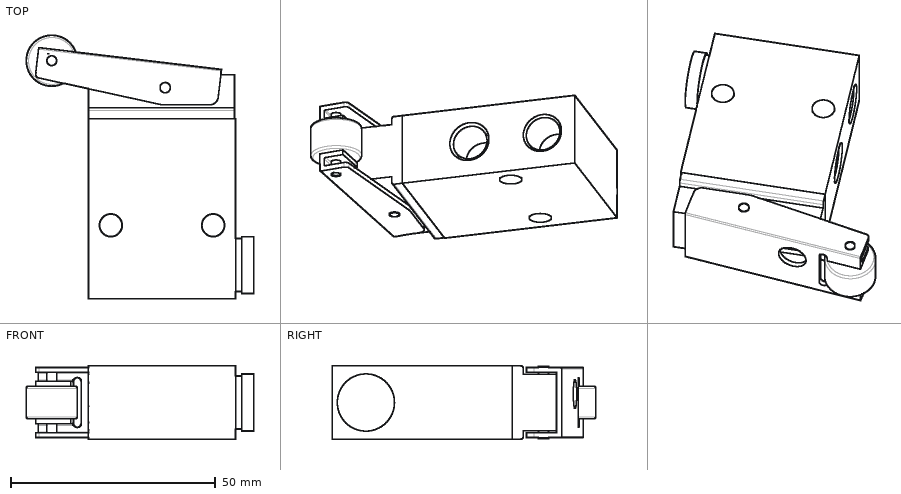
import cadquery as cq
import math


BLOCK_LENGTH = 36.0
BLOCK_HEIGHT = 44.05
THICKNESS = 18.0
MOUNT_HOLE_D = 5.5
MOUNT_HOLE_SPACING = 25.0
MOUNT_HOLE_Y = 18.0
PORT_BORE_D = 8.6
PORT_DEPTH = 11.6
UPPER_PORT_Y = 26.9
LOWER_PORT_Y = 8.25
UPPER_PORT_MOUTH_D = 10.0
LOWER_PORT_MOUTH_D = 9.75

PLUG_NECK_D = 13.0
PLUG_NECK_LENGTH = 1.5
PLUG_CAP_D = 14.0
PLUG_CAP_LENGTH = 2.95

HEAD_LENGTH = 35.7
HEAD_BASE_HEIGHT = 2.7
HEAD_BASE_ROUND = 0.65
HEAD_HEIGHT = 10.8
HEAD_TONGUE_THICKNESS = 13.85
HEAD_PAD_LENGTH = 12.9
HEAD_PAD_BOTTOM_Z = -6.7
HEAD_PAD_TOP_Z = -0.9
HEAD_PAD_RISE = 1.3

PIVOT_X = 18.75
PIVOT_Y = 51.65
PIVOT_D = 2.5
PIVOT_LENGTH = 17.7
ROLLER_D = 12.5
ROLLER_WIDTH = 8.0
ROLLER_ROUND = 0.5
ROLLER_X = -8.95
ROLLER_Y = 58.25
AXLE_D = 2.4
AXLE_RECESS = 0.25

LEVER_TILT = 6.8
LEVER_WIDTH = 17.2
SHEET = 1.2
WEB_OUTER_V = 6.05
LEVER_LEFT_U = -31.85
LEVER_RIGHT_U = 13.15
FLANGE_KNEE_U = -0.45
FLANGE_KNEE_V = -4.25
FLANGE_TAPER = 5.5
FLANGE_LEFT_ROUND = 0.95
FLANGE_RIGHT_ROUND = 2.0
BEND_OUTER_ROUND = 0.3
BEND_INNER_ROUND = 0.25
TAB_RIGHT_U = -23.3
TAB_LOWER_V = -0.1
TAB_BEND_ROUND = 0.4
RELIEF_RIGHT_U = -21.3
RELIEF_LENGTH = 12.1
WEB_HOLE_D = 7.0
WEB_HOLE_U = -14.4
WEB_HOLE_Z = 2.05


def slab(x_min, x_max, y_min, y_max, z_min, z_max):
    """Box given by its limits along the three axes."""
    return (
        cq.Workplane("XY")
        .box(x_max - x_min, y_max - y_min, z_max - z_min, centered=False)
        .translate((x_min, y_min, z_min))
    )


def cylinder_z(x, y, diameter, length):
    """Cylinder along Z, centred on Z = 0."""
    return cq.Workplane("XY", origin=(x, y, -length / 2)).circle(diameter / 2).extrude(length)


def cylinder_x(x_start, y, diameter, length):
    """Cylinder running in +X from x_start, on the mid-plane."""
    return cq.Workplane("YZ", origin=(x_start, y, 0)).circle(diameter / 2).extrude(length)


def port(y, mouth_diameter):
    """Blind port cutter in the -X face, with a 45 degree chamfered mouth."""
    bore_radius = PORT_BORE_D / 2
    mouth_radius = mouth_diameter / 2
    chamfer = mouth_radius - bore_radius
    profile = [
        (0, y),
        (PORT_DEPTH, y),
        (PORT_DEPTH, y + bore_radius),
        (chamfer, y + bore_radius),
        (0, y + mouth_radius),
    ]
    return cq.Workplane("XY").polyline(profile).close().revolve(360, (0, y, 0), (1, y, 0))


def make_block():
    """Valve block with its ports, mounting holes and round plug."""
    block = slab(0, BLOCK_LENGTH, 0, BLOCK_HEIGHT, -THICKNESS / 2, THICKNESS / 2)
    for side in (-1, 1):
        hole_x = (BLOCK_LENGTH + side * MOUNT_HOLE_SPACING) / 2
        block = block.cut(cylinder_z(hole_x, MOUNT_HOLE_Y, MOUNT_HOLE_D, THICKNESS))
    block = block.cut(port(UPPER_PORT_Y, UPPER_PORT_MOUTH_D))
    block = block.cut(port(LOWER_PORT_Y, LOWER_PORT_MOUTH_D))
    block = block.union(cylinder_x(BLOCK_LENGTH, LOWER_PORT_Y, PLUG_NECK_D, PLUG_NECK_LENGTH))
    cap_start = BLOCK_LENGTH + PLUG_NECK_LENGTH
    return block.union(cylinder_x(cap_start, LOWER_PORT_Y, PLUG_CAP_D, PLUG_CAP_LENGTH))


def make_head():
    """Head with a full-thickness base, a thinner tongue and the lever's pivot pin."""
    base_top = BLOCK_HEIGHT + HEAD_BASE_HEIGHT
    head_top = BLOCK_HEIGHT + HEAD_HEIGHT
    half_tongue = HEAD_TONGUE_THICKNESS / 2
    head = slab(0, HEAD_LENGTH, BLOCK_HEIGHT, base_top, -THICKNESS / 2, THICKNESS / 2)
    head = head.faces(">Y").edges("|X").fillet(HEAD_BASE_ROUND)
    head = head.union(slab(0, HEAD_LENGTH, BLOCK_HEIGHT, head_top, -half_tongue, half_tongue))
    pad_top = head_top + HEAD_PAD_RISE
    head = head.union(slab(0, HEAD_PAD_LENGTH, BLOCK_HEIGHT, pad_top, HEAD_PAD_BOTTOM_Z, HEAD_PAD_TOP_Z))
    return head.union(cylinder_z(PIVOT_X, PIVOT_Y, PIVOT_D, PIVOT_LENGTH))


def lever_channel():
    """U-shaped channel: tapered outer flanges joined by the web at the +V side."""
    left_rise = (FLANGE_KNEE_U - LEVER_LEFT_U) * math.tan(math.radians(FLANGE_TAPER))
    right_rise = (LEVER_RIGHT_U - FLANGE_KNEE_U) * math.tan(math.radians(LEVER_TILT))
    lower_left = (LEVER_LEFT_U, FLANGE_KNEE_V + left_rise)
    lower_right = (LEVER_RIGHT_U, FLANGE_KNEE_V + right_rise)
    outline = [
        (LEVER_LEFT_U, WEB_OUTER_V),
        lower_left,
        (FLANGE_KNEE_U, FLANGE_KNEE_V),
        lower_right,
        (LEVER_RIGHT_U, WEB_OUTER_V),
    ]
    lower_plane = cq.Workplane("XY", origin=(0, 0, -LEVER_WIDTH / 2))
    channel = lower_plane.polyline(outline).close().extrude(LEVER_WIDTH)
    for corner, radius in ((lower_left, FLANGE_LEFT_ROUND), (lower_right, FLANGE_RIGHT_ROUND)):
        corner_edge = cq.selectors.NearestToPointSelector((*corner, 0))
        channel = channel.edges(corner_edge).fillet(radius)
    channel = channel.faces(">Y").edges("|X").fillet(BEND_OUTER_ROUND)

    half_gap = LEVER_WIDTH / 2 - SHEET
    web_inner_v = WEB_OUTER_V - SHEET
    gap = slab(LEVER_LEFT_U, LEVER_RIGHT_U, FLANGE_KNEE_V, web_inner_v, -half_gap, half_gap)
    gap = gap.faces(">Y").edges("|X").fillet(BEND_INNER_ROUND)
    return channel.cut(gap)


def lever_tab(side):
    """Inner tab folded from the web beside the roller, with its rounded inside corner."""
    web_inner_v = WEB_OUTER_V - SHEET
    inner_z = ROLLER_WIDTH / 2
    outer_z = inner_z + SHEET
    profile = (
        cq.Workplane("YZ", origin=(LEVER_LEFT_U, 0, 0))
        .moveTo(TAB_LOWER_V, side * inner_z)
        .lineTo(WEB_OUTER_V, side * inner_z)
        .lineTo(WEB_OUTER_V, side * (outer_z + TAB_BEND_ROUND))
        .lineTo(web_inner_v, side * (outer_z + TAB_BEND_ROUND))
        .radiusArc((web_inner_v - TAB_BEND_ROUND, side * outer_z), side * TAB_BEND_ROUND)
        .lineTo(TAB_LOWER_V, side * outer_z)
        .close()
    )
    return profile.extrude(TAB_RIGHT_U - LEVER_LEFT_U)


def web_relief():
    """Slot across the web, rounded at both ends, where the tabs stop."""
    width = RELIEF_RIGHT_U - TAB_RIGHT_U
    return (
        cq.Workplane("XZ", origin=((TAB_RIGHT_U + RELIEF_RIGHT_U) / 2, WEB_OUTER_V, 0))
        .slot2D(RELIEF_LENGTH, width, 90)
        .extrude(SHEET)
    )


def web_hole():
    """Round hole through the web beside the relief slot."""
    return (
        cq.Workplane("XZ", origin=(WEB_HOLE_U, WEB_OUTER_V, WEB_HOLE_Z))
        .circle(WEB_HOLE_D / 2)
        .extrude(SHEET)
    )


def make_lever():
    """Lever bent from sheet, turned about the pivot into place and drilled for both pins."""
    half_roller = ROLLER_WIDTH / 2
    lever = lever_channel()
    for side in (-1, 1):
        lever = lever.union(lever_tab(side))
    lever = lever.cut(slab(LEVER_LEFT_U, TAB_RIGHT_U, TAB_LOWER_V, WEB_OUTER_V, -half_roller, half_roller))
    lever = lever.cut(web_relief())
    lever = lever.cut(web_hole())
    lever = lever.rotate((0, 0, 0), (0, 0, 1), -LEVER_TILT).translate((PIVOT_X, PIVOT_Y, 0))
    lever = lever.cut(cylinder_z(PIVOT_X, PIVOT_Y, PIVOT_D, LEVER_WIDTH))
    return lever.cut(cylinder_z(ROLLER_X, ROLLER_Y, AXLE_D, LEVER_WIDTH))


def make_roller():
    """Roller with rounded rims and its axle."""
    roller = cylinder_z(ROLLER_X, ROLLER_Y, ROLLER_D, ROLLER_WIDTH).edges().fillet(ROLLER_ROUND)
    return roller.union(cylinder_z(ROLLER_X, ROLLER_Y, AXLE_D, LEVER_WIDTH - 2 * AXLE_RECESS))


block = make_block()
head = make_head()
lever = make_lever()
roller = make_roller()

result = cq.Compound.makeCompound([block.val(), head.val(), lever.val(), roller.val()])